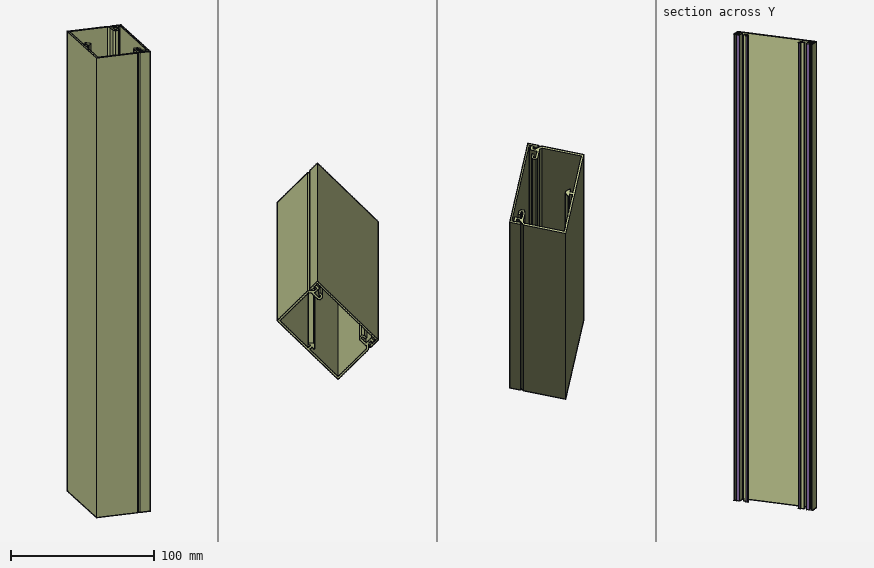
import cadquery as cq

width = 60.0
depth = 40.0
length = 340.0

half_width = width / 2
front_y = -depth / 2
back_y = depth / 2
bottom_z = -length / 2


wall = 1.5
shoulder_start_drop = 9.8
shoulder_run = 3.2
shoulder_rise = 3.8

shelf_drop = 7.5
shelf_thickness = 1.6
shelf_end_inset = 10.8
shelf_end_chamfer_run = 1.5
shelf_end_chamfer_rise = 1.0
wall_corner_chamfer = 1.3

neck_outer_inset = 3.3
neck_inner_inset = 4.6
lip_inset = 1.5
lip_top_drop = 2.4
lip_bottom_drop = 4.4

curl_drop = 4.5
curl_thickness = shelf_thickness
curl_tip_inset = 7.0
curl_throat_inset = 9.4
curl_throat_chamfer = 0.3
curl_chamfer_run = 1.5
curl_chamfer_rise = 1.3

rail_height = 5.2
stem_width = 1.8
stem_height = 2.1
head_width = 6.0
head_edge = 0.5
head_tip_width = 1.2

lid_thickness = 1.3
flange_drop = 7.6
flange_tip_inset = 0.7
flange_tip_drop = 8.6
barb_inset = 1.9
barb_top_drop = 4.7
barb_bottom_drop = 5.5


def side_section(inset_drops):
    """Turn (inset, drop) pairs of the +X side into X, Y points."""
    return [(half_width - inset, back_y - drop) for inset, drop in inset_drops]


def symmetric_extrusion(half_outline):
    """Close a half outline with its mirror image across X = 0 and extrude it to full length."""
    mirrored = [(-x, y) for x, y in reversed(half_outline)]
    section = cq.Workplane("XY", origin=(0, 0, bottom_z)).polyline(half_outline + mirrored)
    return section.close().extrude(length)


def wall_and_shoulder():
    shoulder_end_drop = shoulder_start_drop - shoulder_rise
    return side_section([
        (0, depth),
        (0, shoulder_start_drop),
        (shoulder_run, shoulder_end_drop),
        (neck_outer_inset, shoulder_end_drop),
    ])


def neck_and_lip():
    return side_section([
        (neck_outer_inset, lip_bottom_drop),
        (lip_inset, lip_bottom_drop),
        (lip_inset, lip_top_drop),
        (neck_inner_inset, lip_top_drop),
        (neck_inner_inset, shelf_drop),
    ])


def curl():
    curl_bottom_drop = curl_drop + curl_thickness
    return side_section([
        (curl_throat_inset - curl_throat_chamfer, shelf_drop),
        (curl_throat_inset, shelf_drop - curl_throat_chamfer),
        (curl_throat_inset, curl_bottom_drop + curl_throat_chamfer),
        (curl_throat_inset - curl_throat_chamfer, curl_bottom_drop),
        (curl_tip_inset, curl_bottom_drop),
        (curl_tip_inset, curl_drop),
        (shelf_end_inset - curl_chamfer_run, curl_drop),
        (shelf_end_inset, curl_drop + curl_chamfer_rise),
    ])


def shelf_front_and_inner_wall():
    shelf_front_drop = shelf_drop + shelf_thickness
    return side_section([
        (shelf_end_inset, shelf_front_drop - shelf_end_chamfer_rise),
        (shelf_end_inset - shelf_end_chamfer_run, shelf_front_drop),
        (wall + wall_corner_chamfer, shelf_front_drop),
        (wall, shelf_front_drop + wall_corner_chamfer),
        (wall, depth - wall),
    ])


def floor_rail():
    floor_y = front_y + wall
    head_y = floor_y + stem_height
    return [
        (stem_width / 2, floor_y),
        (stem_width / 2, head_y),
        (head_width / 2, head_y),
        (head_width / 2, head_y + head_edge),
        (head_tip_width / 2, floor_y + rail_height),
    ]


def make_base():
    return symmetric_extrusion(
        wall_and_shoulder() + neck_and_lip() + curl() + shelf_front_and_inner_wall() + floor_rail()
    )


def make_lid():
    return symmetric_extrusion(side_section([
        (0, 0),
        (0, flange_drop),
        (flange_tip_inset, flange_tip_drop),
        (barb_inset, barb_bottom_drop),
        (barb_inset, barb_top_drop),
        (lid_thickness, barb_top_drop),
        (lid_thickness, lid_thickness),
    ]))


base = make_base()
lid = make_lid()

result = cq.Compound.makeCompound([base.val(), lid.val()])